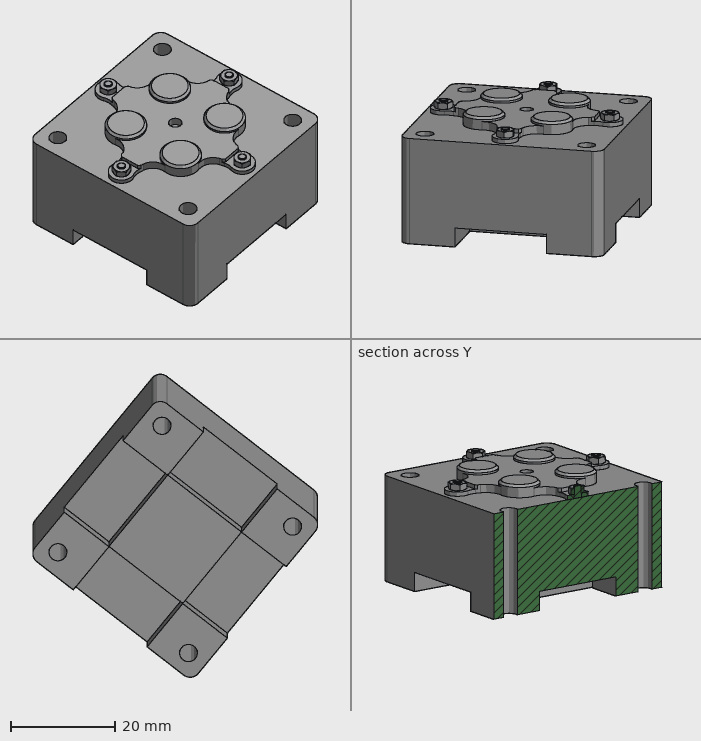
import cadquery as cq
import math

housing_side = 40.0
housing_height = 21.0
corner_radius = 2.0
notch_width = 18.1
notch_height = 3.8
pad_recess = 0.15
mount_hole_diameter = 3.4
mount_hole_offset = 16.0

lug_thickness = 0.85
plate_thickness = 1.65
plate_half_span = 13.9
step_edge_half_width = 1.95
step_clearance_half_width = 3.2
center_hole_diameter = 2.5
button_radius = 4.0
button_offset = 6.7
button_height = 2.5
button_chamfer = 0.5

lug_radius = 2.5
lug_offset = 16.5
lug_blend_start = 15.7
neck_outer_half_width = 2.3
neck_inner_half_width = 2.55
neck_inner_offset = 12.9
arm_fillet_radius = 3.2

stud_diameter = 1.65
stud_height = 2.4
stud_chamfer = 0.1
nut_across_flats = 3.2
nut_height = 1.3
nut_chamfer_angle = 35.0
nut_turn = 38.0
nut_sides = 6

ARM_ANGLES = (0, 90, 180, 270)

lug_top = housing_height + lug_thickness


def square_corners(offset):
    return [(x, y) for x in (-offset, offset) for y in (-offset, offset)]


def turned(point, angle):
    """Turn a point in the XY plane about the origin, angle in degrees."""
    cosine = math.cos(math.radians(angle))
    sine = math.sin(math.radians(angle))
    return (point[0] * cosine - point[1] * sine, point[0] * sine + point[1] * cosine)


def mirrored(point):
    return (-point[0], point[1])


def circle_point_towards(center, target, radius):
    """Point of a circle that lies on the line from its center to the target."""
    distance = math.dist(center, target)
    return tuple(c + (t - c) * radius / distance for c, t in zip(center, target))


def make_housing():
    block = (
        cq.Workplane("XY")
        .rect(housing_side, housing_side)
        .extrude(housing_height)
        .edges("|Z")
        .fillet(corner_radius)
    )

    notch_depth = (housing_side - notch_width) / 2
    notch_center = (notch_width + notch_depth) / 2
    notch = (
        cq.Workplane("XY")
        .center(0, notch_center)
        .rect(notch_width, notch_depth)
        .extrude(notch_height)
    )
    for angle in ARM_ANGLES:
        block = block.cut(notch.rotate((0, 0, 0), (0, 0, 1), angle))

    block = block.cut(cq.Workplane("XY").rect(notch_width, notch_width).extrude(pad_recess))

    mount_holes = (
        cq.Workplane("XY")
        .pushPoints(square_corners(mount_hole_offset))
        .circle(mount_hole_diameter / 2)
        .extrude(housing_height)
    )
    return block.cut(mount_holes)


def plate_outline():
    """Closed outline of the plate, drawn arm by arm counterclockwise."""
    button = (button_offset, button_offset)
    neck_inner = (neck_inner_half_width, neck_inner_offset)
    neck_outer = (neck_outer_half_width, plate_half_span)
    lug_drop = lug_offset - lug_blend_start
    lug_start = (math.sqrt(lug_radius**2 - lug_drop**2), lug_blend_start)
    lug_tip = (0, lug_offset + lug_radius)

    span = math.dist(button, neck_inner)
    center_distance = button_radius + arm_fillet_radius
    cosine = (span**2 + center_distance**2 - arm_fillet_radius**2) / (2 * span * center_distance)
    neck_direction = math.atan2(neck_inner[1] - button[1], neck_inner[0] - button[0])
    center_direction = neck_direction - math.acos(cosine)
    fillet_center = (
        button[0] + center_distance * math.cos(center_direction),
        button[1] + center_distance * math.sin(center_direction),
    )
    fillet_end = circle_point_towards(button, fillet_center, button_radius)
    chord_middle = tuple((a + b) / 2 for a, b in zip(fillet_end, neck_inner))
    fillet_middle = circle_point_towards(fillet_center, chord_middle, arm_fillet_radius)

    button_outer = turned((0, math.hypot(*button) + button_radius), 45)

    outline = cq.Workplane("XY", origin=(0, 0, housing_height)).moveTo(*fillet_end)
    for angle in ARM_ANGLES:
        outline = (
            outline
            .threePointArc(turned(fillet_middle, angle), turned(neck_inner, angle))
            .lineTo(*turned(neck_outer, angle))
            .tangentArcPoint(turned(lug_start, angle), relative=False)
            .threePointArc(turned(lug_tip, angle), turned(mirrored(lug_start), angle))
            .tangentArcPoint(turned(mirrored(neck_outer), angle), relative=False)
            .lineTo(*turned(mirrored(neck_inner), angle))
            .threePointArc(turned(mirrored(fillet_middle), angle), turned(mirrored(fillet_end), angle))
            .threePointArc(turned(button_outer, angle), turned(fillet_end, angle + 90))
        )
    return outline.close()


def make_plate():
    plate = plate_outline().extrude(plate_thickness)

    clear_end = housing_side / 2
    clear_inner = plate_half_span - (step_clearance_half_width - step_edge_half_width)
    clearance = (
        cq.Workplane("XY", origin=(0, 0, lug_top))
        .polyline([
            (step_edge_half_width, plate_half_span),
            (step_clearance_half_width, clear_inner),
            (step_clearance_half_width, clear_end),
            (-step_clearance_half_width, clear_end),
            (-step_clearance_half_width, clear_inner),
            (-step_edge_half_width, plate_half_span),
        ])
        .close()
        .extrude(plate_thickness)
    )
    for angle in ARM_ANGLES:
        plate = plate.cut(clearance.rotate((0, 0, 0), (0, 0, 1), angle))

    buttons = (
        cq.Workplane("XY", origin=(0, 0, housing_height))
        .pushPoints(square_corners(button_offset))
        .circle(button_radius)
        .extrude(button_height)
        .faces(">Z")
        .edges()
        .chamfer(button_chamfer)
    )
    plate = plate.union(buttons)

    holes = (
        cq.Workplane("XY", origin=(0, 0, housing_height))
        .circle(center_hole_diameter / 2)
        .extrude(plate_thickness)
    )
    for angle in ARM_ANGLES:
        x, y = turned((0, lug_offset), angle)
        holes = holes.union(
            cq.Workplane("XY", origin=(x, y, housing_height))
            .circle(stud_diameter / 2)
            .extrude(plate_thickness)
        )
    return plate.cut(holes)


def make_stud(angle):
    """Stud standing on the housing, through the lug and the nut."""
    return (
        cq.Workplane("XY", origin=(0, lug_offset, housing_height))
        .circle(stud_diameter / 2)
        .extrude(stud_height)
        .faces(">Z")
        .edges()
        .chamfer(stud_chamfer)
        .rotate((0, 0, 0), (0, 0, 1), angle)
    )


def make_nut(angle):
    """Hexagon nut with conical chamfers on the corners of both ends."""
    flat_radius = nut_across_flats / 2
    corner_reach = flat_radius / math.cos(math.pi / nut_sides)
    chamfer_height = (corner_reach - flat_radius) * math.tan(math.radians(nut_chamfer_angle))
    hexagon = (
        cq.Workplane("XY")
        .polygon(nut_sides, 2 * corner_reach)
        .circle(stud_diameter / 2)
        .extrude(nut_height)
    )
    chamfer_envelope = (
        cq.Workplane("XZ")
        .polyline([
            (0, 0),
            (flat_radius, 0),
            (corner_reach, chamfer_height),
            (corner_reach, nut_height - chamfer_height),
            (flat_radius, nut_height),
            (0, nut_height),
        ])
        .close()
        .revolve(360, (0, 0, 0), (0, 1, 0))
    )
    return (
        hexagon.intersect(chamfer_envelope)
        .rotate((0, 0, 0), (0, 0, 1), nut_turn)
        .translate((0, lug_offset, lug_top))
        .rotate((0, 0, 0), (0, 0, 1), angle)
    )


housing = make_housing()
plate = make_plate()
studs = [make_stud(angle).val() for angle in ARM_ANGLES]
nuts = [make_nut(angle).val() for angle in ARM_ANGLES]

result = cq.Compound.makeCompound([housing.val(), plate.val(), *studs, *nuts])